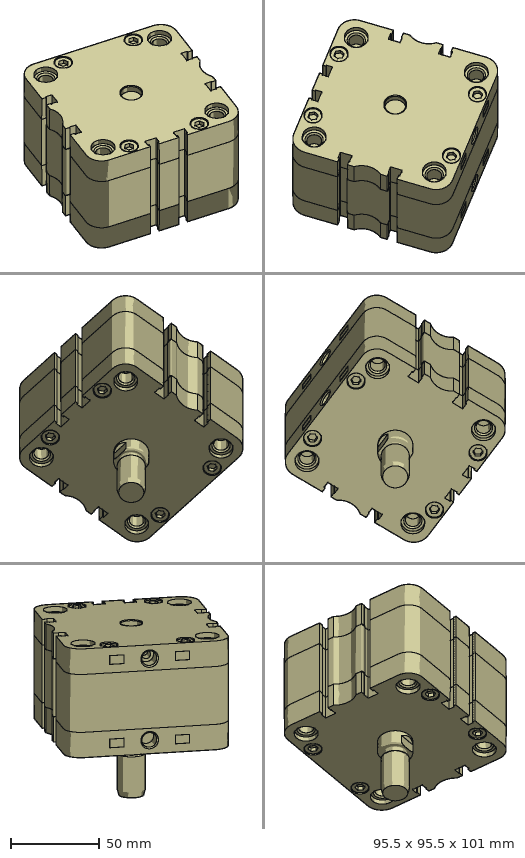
import cadquery as cq
import math

body_width = 95.5
half_width = body_width / 2
corner_radius = 10
body_height = 64
cover_height = 15
barrel_height = body_height - 2 * cover_height
cover_draft = 0.5
bore_diameter = 80

scallop_radius = 12.5
scallop_depth = 2.8
scallop_centre = half_width - scallop_depth + scallop_radius
scallop_edge_fillet = 1

slot_neck_width = 5.5
slot_pocket_width = 7
y_slot_offset = 15.05
y_slot_neck_depth = 3
y_slot_depth = 6.8
x_slot_offset = 9
x_slot_neck_depth = 2
x_slot_depth = 5.7
slot_edge_fillet = 0.7
cover_slot_clearance = 0.4

mount_offset = 36
mount_counterbore_diameter = 13.5
mount_counterbore_depth = 3
mount_hole_diameter = 8.38
mount_chamfer_diameter = 10.3
mount_depth = 13

screw_x = 41.5
screw_y = 22.2
screw_recess_diameter = 10.3
screw_head_diameter = 9.8
screw_recess_depth = 0.7
screw_gap_depth = 2
hex_across_flats = 5
hex_depth = 2.5

port_height = 8
port_diameter = 8.57
port_chamfer_diameter = 10.3
port_depth = 9
passage_diameter = 5
passage_length = 7

panel_offset = 19
panel_length = 8.2
panel_height = 5.1
panel_depth = 0.2

centre_hole_diameter = 12
centre_hole_depth = 4
centre_hole_chamfer = 0.5

piston_thickness = 20
rod_diameter = 20
shoulder_length = 9
shoulder_fillet = 1.5
flat_width = 17
flat_start = 3
neck_diameter = 13.5
neck_length = 3
thread_diameter = 16
thread_length = 28
thread_lead_in = 0.6
neck_fillet = 0.5
tip_diameter = 14.2
tip_length = 3.4

barrel_bottom = cover_height
barrel_top = cover_height + barrel_height


def scalloped_square():
    """Outline of the body, with rounded corners and a scallop at -Y and +Y."""
    square = cq.Sketch().rect(body_width, body_width).vertices().fillet(corner_radius).reset()
    for side in (-1, 1):
        square = square.push([(0, side * scallop_centre)]).circle(scallop_radius, mode="s").reset()
    return square


def slot(neck_depth, depth, extra_neck=0):
    """Through-height slot opening at y = 0 toward -Y; extra neck width goes to +X."""
    neck = cq.Workplane().box(
        slot_neck_width + extra_neck, 2 * neck_depth, body_height, centered=(True, True, False)
    ).translate((extra_neck / 2, 0, 0))
    pocket = cq.Workplane().box(
        slot_pocket_width, depth - neck_depth, body_height, centered=(True, False, False)
    ).translate((0, neck_depth, 0))
    return neck.union(pocket)


def cut_slots(solid, extra_neck=0):
    left_slot = slot(y_slot_neck_depth, y_slot_depth, extra_neck).translate(
        (-y_slot_offset, -half_width, 0)
    )
    front_slots = left_slot.union(left_slot.mirror("YZ"))
    solid = solid.cut(front_slots).cut(front_slots.mirror("XZ"))
    x_slot = slot(x_slot_neck_depth, x_slot_depth).rotate((0, 0, 0), (0, 0, 1), 90)
    for side in (-1, 1):
        solid = solid.cut(x_slot.translate((half_width, side * x_slot_offset, 0)))
    return solid


def chamfered_cutter(diameter, chamfer_diameter, depth):
    """Hole cutter from z = 0 down to -depth, with a 45 degree chamfer at its mouth."""
    chamfer = (chamfer_diameter - diameter) / 2
    profile = [
        (0, 0),
        (chamfer_diameter / 2, 0),
        (diameter / 2, -chamfer),
        (diameter / 2, -depth),
        (0, -depth),
    ]
    return cq.Workplane("XZ").polyline(profile).close().revolve(360, (0, 0, 0), (0, 1, 0))


def mounting_hole():
    counterbore = cq.Workplane().circle(mount_counterbore_diameter / 2).extrude(-mount_counterbore_depth)
    hole = chamfered_cutter(
        mount_hole_diameter, mount_chamfer_diameter, mount_depth - mount_counterbore_depth
    ).translate((0, 0, -mount_counterbore_depth))
    return counterbore.union(hole)


def screw_recess():
    """Recess above and around a screw head, and the hexagon socket in the head."""
    recess = cq.Workplane().circle(screw_recess_diameter / 2).extrude(-screw_recess_depth)
    gap = (
        cq.Workplane()
        .circle(screw_recess_diameter / 2)
        .circle(screw_head_diameter / 2)
        .extrude(-screw_gap_depth)
    )
    hex_diameter = hex_across_flats / math.cos(math.pi / 6)
    socket = (
        cq.Workplane()
        .polygon(6, hex_diameter)
        .extrude(-screw_recess_depth - hex_depth)
        .rotate((0, 0, 0), (0, 0, 1), 30)
    )
    return recess.union(gap).union(socket)


def air_port():
    """Port bored from the -X face toward +X, centred on y = 0, z = 0."""
    port = chamfered_cutter(port_diameter, port_chamfer_diameter, port_depth)
    return port.rotate((0, 0, 0), (0, 1, 0), -90).translate((-half_width, 0, 0))


def cover():
    """Cover standing on z = 0 with its outer face up, as used at the top of the body."""
    solid = cq.Workplane().placeSketch(scalloped_square()).extrude(cover_height, taper=cover_draft)
    solid = cut_slots(solid, cover_slot_clearance)
    for x_side in (-1, 1):
        for y_side in (-1, 1):
            solid = solid.cut(
                mounting_hole().translate((x_side * mount_offset, y_side * mount_offset, cover_height))
            )
            solid = solid.cut(screw_recess().translate((x_side * screw_x, y_side * screw_y, cover_height)))
    solid = solid.cut(air_port().translate((0, 0, cover_height - port_height)))
    middle_face_x = -half_width + cover_height / 2 * math.tan(math.radians(cover_draft))
    for y_side in (-1, 1):
        panel = cq.Workplane().box(2 * panel_depth, panel_length, panel_height)
        panel = panel.rotate((0, 0, 0), (0, 1, 0), cover_draft)
        solid = solid.cut(panel.translate((middle_face_x, y_side * panel_offset, cover_height / 2)))
    return solid


def make_top_cover():
    centre_hole = chamfered_cutter(
        centre_hole_diameter, centre_hole_diameter + 2 * centre_hole_chamfer, centre_hole_depth
    ).translate((0, 0, cover_height))
    passage = (
        cq.Workplane("YZ", origin=(-half_width + port_depth, 0, cover_height - port_height))
        .circle(passage_diameter / 2)
        .extrude(passage_length)
    )
    return cover().cut(centre_hole).cut(passage).translate((0, 0, barrel_top))


def make_bottom_cover():
    rod_hole = cq.Workplane().circle(rod_diameter / 2).extrude(cover_height)
    return cover().mirror("XY").translate((0, 0, cover_height)).cut(rod_hole)


def make_barrel():
    solid = cq.Workplane().placeSketch(scalloped_square()).extrude(barrel_height)
    solid = cut_slots(solid)
    lip_x = y_slot_offset - slot_neck_width / 2
    scallop_x = math.sqrt(scallop_radius ** 2 - (scallop_centre - half_width) ** 2)
    for edge_x, radius in ((lip_x, slot_edge_fillet), (scallop_x, scallop_edge_fillet)):
        for x_side in (-1, 1):
            for y_side in (-1, 1):
                edge_middle = (x_side * edge_x, y_side * half_width, barrel_height / 2)
                edge = solid.edges(cq.selectors.NearestToPointSelector(edge_middle))
                solid = edge.fillet(radius)
    bore = cq.Workplane().circle(bore_diameter / 2).extrude(barrel_height)
    return solid.cut(bore).translate((0, 0, barrel_bottom))


def make_piston_rod():
    """Piston and rod turned as one piece, then milled with two wrench flats."""
    rod_end = -shoulder_length - thread_length
    thread_start = -shoulder_length - neck_length
    neck_radius = neck_diameter / 2
    profile = (
        cq.Workplane("XZ")
        .moveTo(0, rod_end)
        .lineTo(tip_diameter / 2, rod_end)
        .lineTo(thread_diameter / 2, rod_end + tip_length)
        .lineTo(thread_diameter / 2, thread_start - thread_lead_in)
        .lineTo(neck_radius, thread_start)
        .lineTo(neck_radius, -shoulder_length - neck_fillet)
        .radiusArc((neck_radius + neck_fillet, -shoulder_length), neck_fillet)
        .lineTo(rod_diameter / 2 - shoulder_fillet, -shoulder_length)
        .radiusArc((rod_diameter / 2, -shoulder_length + shoulder_fillet), -shoulder_fillet)
        .lineTo(rod_diameter / 2, barrel_top - piston_thickness)
        .lineTo(bore_diameter / 2, barrel_top - piston_thickness)
        .lineTo(bore_diameter / 2, barrel_top)
        .lineTo(0, barrel_top)
        .close()
    )
    solid = profile.revolve(360, (0, 0, 0), (0, 1, 0))
    flat_depth = (rod_diameter - flat_width) / 2
    flat_profile = [
        (flat_width / 2, -shoulder_length),
        (flat_width / 2, -flat_start),
        (rod_diameter / 2, -flat_start + flat_depth),
        (rod_diameter / 2, -shoulder_length),
    ]
    flat = cq.Workplane("XZ").polyline(flat_profile).close().extrude(rod_diameter / 2, both=True)
    return solid.cut(flat).cut(flat.mirror("YZ"))


bottom_cover = make_bottom_cover()
barrel = make_barrel()
top_cover = make_top_cover()
piston_rod = make_piston_rod()

result = cq.Compound.makeCompound(
    [bottom_cover.val(), barrel.val(), top_cover.val(), piston_rod.val()]
)